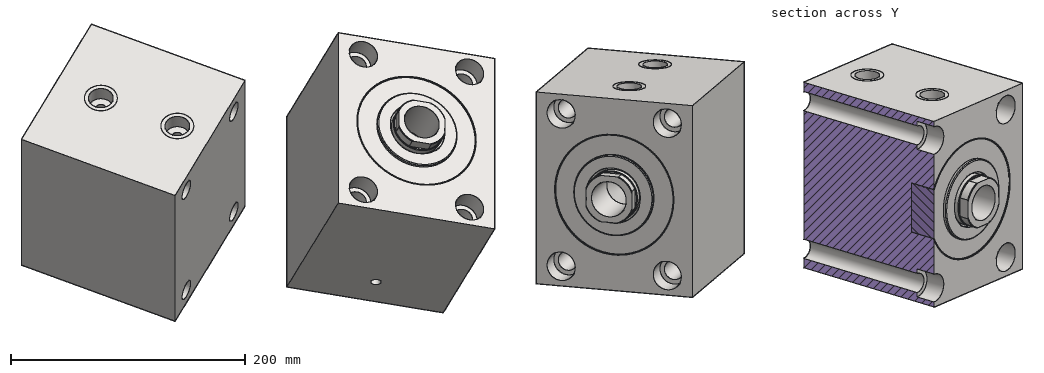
import cadquery as cq
import math


BLOCK_LENGTH = 145.0
BLOCK_WIDTH = 140.0
BLOCK_HEIGHT = 170.0

MOUNT_SPACING_Y = 95.0
MOUNT_SPACING_Z = 135.0
MOUNT_DIAMETER = 17.2
MOUNT_HEAD_DIAMETER = 25.2
MOUNT_HEAD_DEPTH = 18.7

ROD_SIDE_PORT_X = 42.0
HEAD_SIDE_PORT_X = 114.0
PORT_SPOT_DIAMETER = 28.0
PORT_SPOT_DEPTH = 0.2
PORT_DIAMETER = 21.0
PORT_DEPTH = 14.0
PORT_DRILL_DIAMETER = 8.7

GLAND_DIAMETER = 105.2
GLAND_DEPTH = 25.0
GLAND_SEAT_CHAMFER = 0.8
COLLAR_DIAMETER = 71.2
COLLAR_HEIGHT = 3.0
COLLAR_CHAMFER = 0.8
WIPER_GROOVE_DIAMETER = 48.8

ROD_DIAMETER = 45.0
ROD_PROTRUSION = 15.0
ROD_INSERTION = 85.0
FLATS_DIAMETER = 44.4
FLATS_WIDTH = 41.0
FLATS_LENGTH = 9.0
FLATS_END_CHAMFER = 0.5
ROD_CHAMFER = 0.7
ROD_HOLE_DIAMETER = 31.1
ROD_HOLE_DEPTH = 42.5
DRILL_POINT_ANGLE = 118.0


def x_cylinder(diameter, start, end):
    """Cylinder on the X axis between two X positions."""
    return cq.Workplane("YZ", origin=(start, 0, 0)).circle(diameter / 2).extrude(end - start)


def x_cone(start_diameter, end_diameter, start, length):
    """Cone on the X axis that narrows towards +X."""
    base = cq.Vector(start, 0, 0)
    solid = cq.Solid.makeCone(start_diameter / 2, end_diameter / 2, length, base, cq.Vector(1, 0, 0))
    return cq.Workplane(obj=solid)


def drill_mounting_holes(block):
    return (
        block.faces("<X").workplane()
        .rect(MOUNT_SPACING_Y, MOUNT_SPACING_Z, forConstruction=True).vertices()
        .cboreHole(MOUNT_DIAMETER, MOUNT_HEAD_DIAMETER, MOUNT_HEAD_DEPTH)
    )


def port_cutter(port_x, drill_depth):
    """Spotface, threaded bore and feed drilling below the top face."""
    top = cq.Workplane("XY", origin=(port_x, 0, BLOCK_HEIGHT / 2))
    spotface = top.circle(PORT_SPOT_DIAMETER / 2).extrude(-PORT_SPOT_DEPTH)
    bore = top.circle(PORT_DIAMETER / 2).extrude(-PORT_DEPTH)
    drilling = top.circle(PORT_DRILL_DIAMETER / 2).extrude(-drill_depth)
    return spotface.union(bore).union(drilling)


def make_block():
    block = cq.Workplane("XY").box(BLOCK_LENGTH, BLOCK_WIDTH, BLOCK_HEIGHT, centered=(False, True, True))
    block = drill_mounting_holes(block)

    block = block.cut(port_cutter(ROD_SIDE_PORT_X, BLOCK_HEIGHT / 2))
    block = block.cut(port_cutter(HEAD_SIDE_PORT_X, BLOCK_HEIGHT))

    mouth_diameter = GLAND_DIAMETER + 2 * GLAND_SEAT_CHAMFER
    block = block.cut(x_cylinder(GLAND_DIAMETER, 0, GLAND_DEPTH))
    block = block.cut(x_cone(mouth_diameter, GLAND_DIAMETER, 0, GLAND_SEAT_CHAMFER))
    block = block.cut(x_cylinder(ROD_DIAMETER, 0, ROD_INSERTION))
    return block


def make_gland():
    collar = x_cylinder(COLLAR_DIAMETER, -COLLAR_HEIGHT, 0).faces("<X").chamfer(COLLAR_CHAMFER)
    gland = x_cylinder(GLAND_DIAMETER, 0, GLAND_DEPTH).union(collar)

    wiper_groove = x_cylinder(WIPER_GROOVE_DIAMETER, -COLLAR_HEIGHT, 0)
    return gland.cut(x_cylinder(ROD_DIAMETER, -COLLAR_HEIGHT, GLAND_DEPTH)).cut(wiper_groove)


def make_rod():
    shoulder_x = FLATS_LENGTH - ROD_PROTRUSION
    rod = x_cylinder(ROD_DIAMETER, shoulder_x, ROD_INSERTION).faces("<X").chamfer(ROD_CHAMFER)

    square = cq.Workplane("YZ", origin=(-ROD_PROTRUSION, 0, 0)).rect(FLATS_WIDTH, FLATS_WIDTH)
    end = x_cylinder(FLATS_DIAMETER, -ROD_PROTRUSION, shoulder_x).faces("<X").chamfer(FLATS_END_CHAMFER)
    rod = rod.union(end.intersect(square.extrude(FLATS_LENGTH)))

    hole_end = ROD_HOLE_DEPTH - ROD_PROTRUSION
    point_length = ROD_HOLE_DIAMETER / 2 / math.tan(math.radians(DRILL_POINT_ANGLE / 2))
    rod = rod.cut(x_cylinder(ROD_HOLE_DIAMETER, -ROD_PROTRUSION, hole_end))
    return rod.cut(x_cone(ROD_HOLE_DIAMETER, 0, hole_end, point_length))


block = make_block()
gland = make_gland()
rod = make_rod()

result = cq.Compound.makeCompound([block.val(), gland.val(), rod.val()])